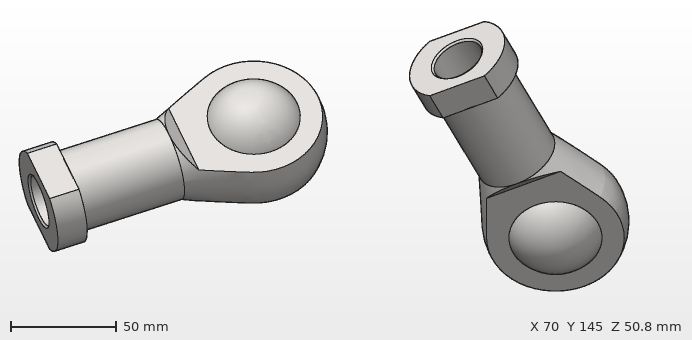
import cadquery as cq
import math


ball_diameter = 50.8

eye_radius = 35.0
eye_thickness = 25.0
chamfer_angle = 45.0

shank_radius = 20.0
shank_start = 43.3
end_distance = 110.0
collar_radius = 25.0
collar_length = 15.0
wrench_width = 41.0

bore_diameter = 25.0
bore_mouth_diameter = 27.0
bore_depth = 56.0
drill_point_angle = 118.0


def tangent_point():
    """Radius and Y of the point where the neck cone touches the eye sphere."""
    start_distance = math.hypot(shank_radius, shank_start)
    start_angle = math.atan2(shank_start, shank_radius)
    touch_angle = start_angle - math.acos(eye_radius / start_distance)
    return eye_radius * math.cos(touch_angle), -eye_radius * math.sin(touch_angle)


def make_turned_blank():
    """Sphere, tangent neck cone, shank and collar turned about Y."""
    arc_middle = eye_radius * math.cos(math.pi / 4)
    collar_start = end_distance - collar_length
    return (
        cq.Workplane("XY")
        .moveTo(0, eye_radius)
        .threePointArc((arc_middle, arc_middle), tangent_point())
        .lineTo(shank_radius, -shank_start)
        .lineTo(shank_radius, -collar_start)
        .lineTo(collar_radius, -collar_start)
        .lineTo(collar_radius, -end_distance)
        .lineTo(0, -end_distance)
        .close()
        .revolve(360, (0, 0, 0), (0, 1, 0))
    )


def make_side_envelope():
    """Side outline across X: flat eye, sloped step, shank and wrench flats."""
    half_eye = eye_thickness / 2
    half_wrench = wrench_width / 2
    slope_length = (shank_radius - half_eye) / math.tan(math.radians(chamfer_angle))
    flat_end = slope_length - shank_start
    upper_half = [
        (eye_radius, half_eye),
        (flat_end, half_eye),
        (-shank_start, shank_radius),
        (-shank_start, half_wrench),
        (-end_distance, half_wrench),
    ]
    lower_half = [(y, -z) for y, z in reversed(upper_half)]
    return cq.Workplane("YZ").polyline(upper_half + lower_half).close().extrude(eye_radius, both=True)


def make_bore():
    """Blind bore with a 45 degree mouth chamfer and a conical drill point."""
    bore_radius = bore_diameter / 2
    mouth_radius = bore_mouth_diameter / 2
    mouth_depth = mouth_radius - bore_radius
    point_length = bore_radius / math.tan(math.radians(drill_point_angle / 2))
    bore_end = bore_depth - end_distance
    return (
        cq.Workplane("XY")
        .moveTo(0, -end_distance)
        .lineTo(mouth_radius, -end_distance)
        .lineTo(bore_radius, mouth_depth - end_distance)
        .lineTo(bore_radius, bore_end)
        .lineTo(0, bore_end + point_length)
        .close()
        .revolve(360, (0, 0, 0), (0, 1, 0))
    )


def make_ball():
    return cq.Workplane("XY").sphere(ball_diameter / 2)


def make_housing():
    """Turned blank with its flats, bored, and hollowed to seat the ball."""
    return make_turned_blank().intersect(make_side_envelope()).cut(make_bore()).cut(make_ball())


housing = make_housing().solids()
ball = make_ball()

result = cq.Compound.makeCompound([housing.val(), ball.val()])